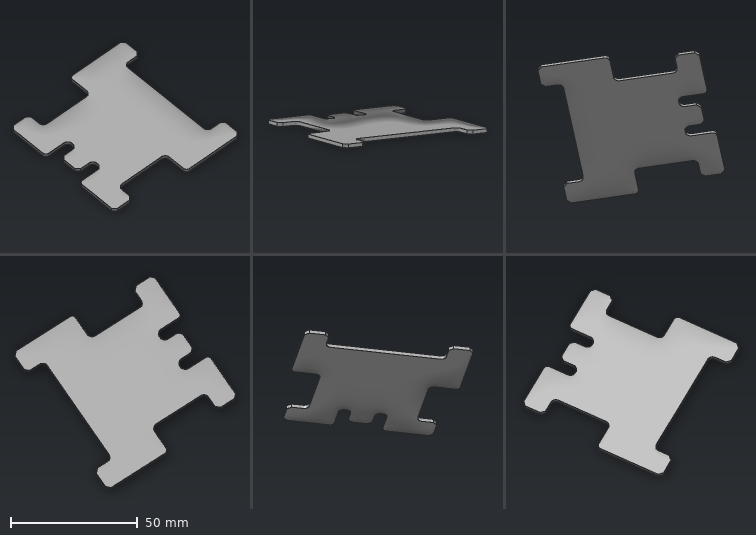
import cadquery as cq

width = 67.75
height = 64.0
thickness = 1.6

arm_width = 9.8
top_notch_depth = 8.5
arm_length = 28.85

waist_half_width = 21.8
foot_half_width = 30.15
foot_height = 9.8

slot_outer_x = 9.7
slot_top_height = 12.0
tab_half_width = 4.9
tab_bottom_height = 3.7

corner_chamfer = 1.6
outer_radius = 1.8
inner_radius = 2.1

half_width = width / 2
top_y = height / 2
bottom_y = -height / 2
arm_inner_x = half_width - arm_width
notch_y = top_y - top_notch_depth
arm_bottom_y = top_y - arm_length
foot_top_y = bottom_y + foot_height
slot_top_y = bottom_y + slot_top_height
tab_bottom_y = bottom_y + tab_bottom_height

notch_corner = (arm_inner_x, notch_y)
arm_tip_corners = [(arm_inner_x, top_y), (half_width, top_y)]
arm_bottom_corner = (half_width, arm_bottom_y)
arm_root_corner = (waist_half_width, arm_bottom_y)
foot_root_corner = (waist_half_width, foot_top_y)
foot_tip_corners = [(foot_half_width, foot_top_y), (foot_half_width, bottom_y)]
foot_inner_corner = (slot_outer_x, bottom_y)
slot_end_corners = [(slot_outer_x, slot_top_y), (tab_half_width, slot_top_y)]
tab_corner = (tab_half_width, tab_bottom_y)

right_outline = [
    notch_corner,
    *arm_tip_corners,
    arm_bottom_corner,
    arm_root_corner,
    foot_root_corner,
    *foot_tip_corners,
    foot_inner_corner,
    *slot_end_corners,
    tab_corner,
]

chamfered_corners = [*arm_tip_corners, *foot_tip_corners, tab_corner]
outer_rounded_corners = [arm_bottom_corner, foot_inner_corner]
inner_rounded_corners = [notch_corner, arm_root_corner, foot_root_corner, *slot_end_corners]


def mirrored(points):
    """Reflect points across the plate's vertical centreline."""
    return [(-x, y) for x, y in points]


def edges_at(plate, corners):
    """Select the plate's through-thickness edges at the corners on both halves."""
    selected = plate.newObject([])
    for x, y in corners + mirrored(corners):
        selected = selected.add(plate.edges(cq.NearestToPointSelector((x, y, thickness / 2))))
    return selected


outline = right_outline + mirrored(right_outline)[::-1]
sharp_plate = cq.Workplane("XY").polyline(outline).close().extrude(thickness)
chamfered_plate = edges_at(sharp_plate, chamfered_corners).chamfer(corner_chamfer)
outer_rounded_plate = edges_at(chamfered_plate, outer_rounded_corners).fillet(outer_radius)
result = edges_at(outer_rounded_plate, inner_rounded_corners).fillet(inner_radius)